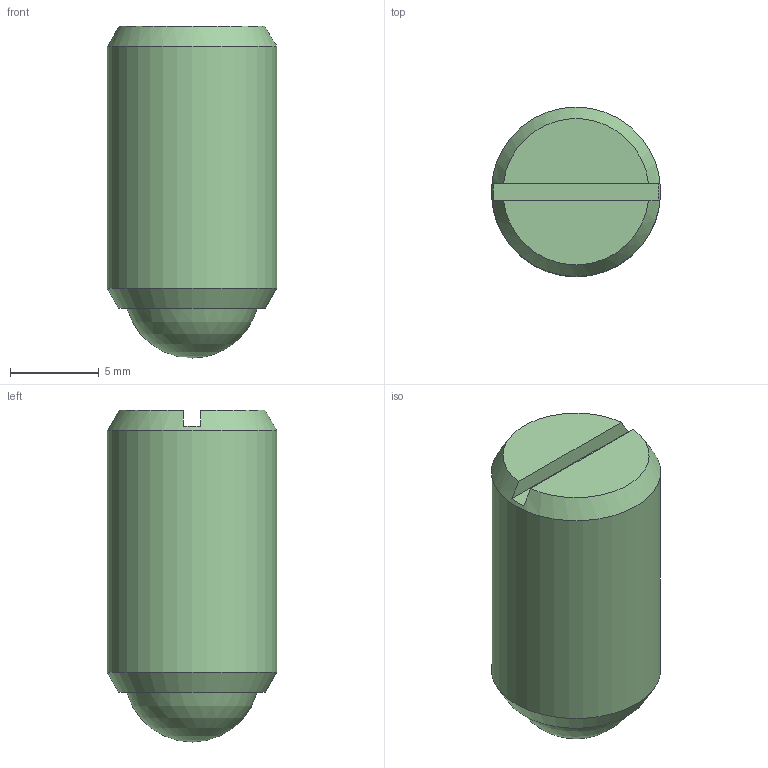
import cadquery as cq
import math

body_diameter = 9.525
body_length = 15.875
chamfer_height = 1.13
chamfer_angle = 30.0

ball_diameter = 7.6
ball_protrusion = 2.785

slot_width = 0.96
slot_depth = 0.92

body_radius = body_diameter / 2
end_radius = body_radius - chamfer_height * math.tan(math.radians(chamfer_angle))
ball_radius = ball_diameter / 2
ball_center_z = ball_radius - ball_protrusion


def make_body():
    """Cylinder with a conical chamfer at both ends, revolved about Z."""
    return (
        cq.Workplane("XZ")
        .moveTo(0, 0)
        .lineTo(end_radius, 0)
        .lineTo(body_radius, chamfer_height)
        .lineTo(body_radius, body_length - chamfer_height)
        .lineTo(end_radius, body_length)
        .lineTo(0, body_length)
        .close()
        .revolve(360, (0, 0, 0), (0, 1, 0))
    )


def make_ball():
    """Ball seated in the lower end of the body."""
    return cq.Workplane("XY").sphere(ball_radius).translate((0, 0, ball_center_z))


def make_slot():
    """Cutter for the slot, as long as the body diameter."""
    return (
        cq.Workplane("XY")
        .box(body_diameter, slot_width, slot_depth, centered=(True, True, False))
        .translate((0, 0, body_length - slot_depth))
    )


result = make_body().union(make_ball()).cut(make_slot())